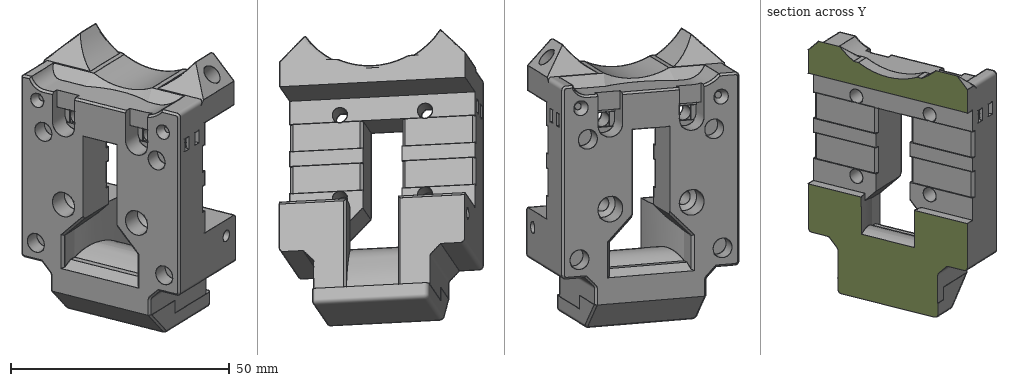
import cadquery as cq
import math

HALF_WIDTH = 21.6
TOTAL_HEIGHT = 64.81
FOOT_REAR = 26.0
BLOCK_REAR = 23.9
WEB_REAR = 10.8
SADDLE_REAR = 23.2

BODY_TOP = 58.9
BODY_BOTTOM = 13.5
NECK_TOP = 11.0
NECK_HALF = 13.55
FOOT_HALF = 13.6
CORNER_RADIUS = 1.0
NECK_RADIUS = 1.2
FRONT_CHAMFER = 0.5

BLOCK_TOP = 25.5
BLOCK_CHAMFER = 0.65
FOOT_HEIGHT = 3.75
FOOT_BEVEL = 6.9
FOOT_STEP_DEPTH = 10.6
FOOT_RADIUS = 1.0
SIDE_HOLE_DIAMETER = 2.7
SIDE_HOLE_DEPTH = 10.0
SIDE_HOLE_Y = 19.9
SIDE_HOLE_Z = 21.5

SADDLE_BOTTOM = 53.0
EAR_RISE = TOTAL_HEIGHT - BODY_TOP
EAR_SLOPE_START = 10.2
BORE_Z = 75.5
BORE_RADIUS = 18.4
EAR_BORE_RADIUS = 18.98
BORE_ROUNDING = 0.75
INSERT_DIAMETER = 4.6
INSERT_DEPTH = 5.5
INSERT_Y = 18.2
INSERT_RISE = 2.8

RELIEF_FLOOR = 56.4
RELIEF_REAR = 9.75
RELIEF_LEFT_END = -15.4
RELIEF_LEFT_RADIUS = 3.7
RELIEF_RIGHT_END = 10.9
RELIEF_RIGHT_RADIUS = 7.9

SCREW_X = 9.93
UPPER_SCREW_Z = 49.15
LOWER_SCREW_Z = 29.2
SCREW_DIAMETER = 3.5
HEAD_DIAMETER = 6.0
HEAD_DEPTH = 5.0
HEAD_CONE_DEPTH = 0.8
CHANNEL_DEPTH = 1.9
BRIDGE_LAYER = 0.3

PILOT_X = 17.1
PILOT_Z = 53.5
PILOT_DIAMETER = 3.5
PILOT_END_DIAMETER = 1.6
PILOT_DEPTH = 2.0
MAGNET_DIAMETER = 4.6
MAGNET_DEPTH = 4.0
MAGNET_POSITIONS = [(15.4, 46.05), (17.45, 17.9)]

SLOT_HALF = 4.57
SLOT_TOP = 47.5
WINDOW_HALF = 10.0
WINDOW_REAR_HALF = 6.05
WINDOW_SHOULDER = 21.3
WINDOW_CHAMFER = 0.57
WINDOW_SILL = 13.1
SILL_RAMP = 2.85
FLOOR_LOW = 14.55
FLOOR_HIGH = 16.55
FLOOR_CREST = 10.3
CURVE_START = 4.4
CURVE_START_HALF = 9.7
WINDOW_REAR_CHAMFER = 0.55

TIE_Y = 5.33
TIE_INNER_RADIUS = 1.37
TIE_OUTER_RADIUS = 3.07
TIE_BOTTOM = 48.9
TIE_HEIGHT = 3.1
GROOVE_DEPTH = 0.3
GROOVE_END_DEPTH = 1.0
GROOVE_HEIGHT = 6.5
GROOVE_BOTTOMS = [31.0, 41.0]

SIDES = (-1, 1)
MARGIN = 1.0


def box(x0, x1, y0, y1, z0, z1):
    """Block between two corners."""
    return cq.Workplane("XY").box(x1 - x0, y1 - y0, z1 - z0, centered=False).translate((x0, y0, z0))


def along_y(sketch_points, y0, y1):
    """Extrude a closed X-Z outline from y0 to y1."""
    return cq.Workplane("XZ", origin=(0, y0, 0)).polyline(sketch_points).close().extrude(y0 - y1)


def along_x(sketch_points, half_length):
    """Extrude a closed Y-Z outline symmetrically about X = 0."""
    return cq.Workplane("YZ").polyline(sketch_points).close().extrude(half_length, both=True)


def cylinder_y(x, z, diameter, y0, y1):
    """Cylinder along Y from y0 to y1."""
    return cq.Workplane("XZ", origin=(x, y0, z)).circle(diameter / 2).extrude(y0 - y1)


def cone_y(x, z, front_diameter, rear_diameter, depth, front_y=0):
    """Cone along Y, measured from its front end."""
    base = cq.Vector(x, front_y, z)
    cone = cq.Solid.makeCone(front_diameter / 2, rear_diameter / 2, depth, base, cq.Vector(0, 1, 0))
    return cq.Workplane("XY").add(cone)


def cylinder_into(mouth, direction, diameter, depth):
    """Cylinder from a mouth point along a direction."""
    return cq.Workplane("XY").add(cq.Solid.makeCylinder(diameter / 2, depth, mouth, direction))


def make_body():
    """Front plate and lower block, extruded from one outline and stepped at the rear."""
    neck_start = NECK_HALF + BODY_BOTTOM - NECK_TOP
    right = [(NECK_HALF, 0), (NECK_HALF, NECK_TOP), (neck_start, BODY_BOTTOM), (HALF_WIDTH, BODY_BOTTOM),
             (HALF_WIDTH, BODY_TOP)]
    left = [(-x, z) for x, z in reversed(right)]
    body = along_y(right + left, 0, BLOCK_REAR)
    for side in SIDES:
        for x, z, radius in ((HALF_WIDTH, BODY_TOP, CORNER_RADIUS), (HALF_WIDTH, BODY_BOTTOM, CORNER_RADIUS),
                             (NECK_HALF, NECK_TOP, NECK_RADIUS)):
            corner = cq.selectors.NearestToPointSelector((side * x, BLOCK_REAR / 2, z))
            body = body.edges("|Y").edges(corner).fillet(radius)
    body = body.cut(top_relief()).faces("<Y").chamfer(FRONT_CHAMFER)
    width = HALF_WIDTH + MARGIN
    body = body.cut(box(-width, width, WEB_REAR, BLOCK_REAR + MARGIN, BLOCK_TOP, TOTAL_HEIGHT))
    rear_edge = cq.selectors.NearestToPointSelector((0, BLOCK_REAR, BLOCK_TOP))
    body = body.edges("|X").edges(rear_edge).chamfer(BLOCK_CHAMFER)
    below_foot_top = box(-width, width, -MARGIN, BLOCK_REAR + MARGIN, -MARGIN, FOOT_HEIGHT)
    foot_step = box(-width, width, -MARGIN, FOOT_STEP_DEPTH, 0, FOOT_BEVEL)
    return body.cut(below_foot_top).cut(foot_step)


def make_foot():
    """Bottom plate reaching past the block, raised and bevelled at the front."""
    side = [(FOOT_BEVEL, 0), (FOOT_REAR, 0), (FOOT_REAR, FOOT_HEIGHT), (FOOT_STEP_DEPTH, FOOT_HEIGHT),
            (FOOT_STEP_DEPTH, FOOT_BEVEL), (0, FOOT_BEVEL)]
    foot = along_x(side, FOOT_HALF)
    foot = foot.edges("|Z and >Y").fillet(FOOT_RADIUS)
    foot = foot.edges("|Y and <Z").fillet(FOOT_RADIUS)
    bevel_middle = cq.selectors.NearestToPointSelector((0, FOOT_BEVEL / 2, FOOT_BEVEL / 2))
    return foot.faces(bevel_middle).edges("not |X").chamfer(FRONT_CHAMFER)


def make_saddle():
    """Block behind the body top whose ears rise at 45 degrees from the sides and from the front."""
    outline = [(-HALF_WIDTH, SADDLE_BOTTOM), (HALF_WIDTH, SADDLE_BOTTOM), (HALF_WIDTH, BODY_TOP),
               (HALF_WIDTH - EAR_RISE, TOTAL_HEIGHT), (EAR_RISE - HALF_WIDTH, TOTAL_HEIGHT),
               (-HALF_WIDTH, BODY_TOP)]
    slope_drop = BODY_TOP - SADDLE_BOTTOM
    side = [(EAR_SLOPE_START - slope_drop, SADDLE_BOTTOM), (SADDLE_REAR, SADDLE_BOTTOM),
            (SADDLE_REAR, TOTAL_HEIGHT), (EAR_SLOPE_START + EAR_RISE, TOTAL_HEIGHT)]
    return along_y(outline, 0, SADDLE_REAR).intersect(along_x(side, HALF_WIDTH))


def bore_cutter(radius, front_flare):
    """Cylinder along Y whose rear rim is rounded and whose front flares at 45 degrees, if at all."""
    round_start = SADDLE_REAR - BORE_ROUNDING
    round_middle = BORE_ROUNDING * math.sin(math.pi / 4)
    outline = cq.Workplane("XY").moveTo(0, RELIEF_REAR - front_flare)
    if front_flare:
        outline = outline.lineTo(radius + front_flare, RELIEF_REAR - front_flare)
    return (
        outline.lineTo(radius, RELIEF_REAR).lineTo(radius, round_start)
        .threePointArc((radius + BORE_ROUNDING - round_middle, round_start + round_middle),
                       (radius + BORE_ROUNDING, SADDLE_REAR))
        .lineTo(0, SADDLE_REAR).close()
        .revolve(360, (0, 0), (0, 1)).translate((0, 0, BORE_Z))
    )


def saddle_bore():
    """Main bore with its flare, and the slightly wider bore between the ears."""
    top = TOTAL_HEIGHT + MARGIN
    above_relief = box(-HALF_WIDTH, HALF_WIDTH, 0, SADDLE_REAR, RELIEF_FLOOR, top)
    above_body = box(-HALF_WIDTH, HALF_WIDTH, 0, SADDLE_REAR, BODY_TOP, top)
    main_bore = bore_cutter(BORE_RADIUS, BODY_TOP - RELIEF_FLOOR).intersect(above_relief)
    return main_bore.union(bore_cutter(EAR_BORE_RADIUS, 0).intersect(above_body))


def insert_hole(side):
    """Blind hole square to the sloping flank of one ear."""
    mouth = cq.Vector(side * (HALF_WIDTH - INSERT_RISE), INSERT_Y, BODY_TOP + INSERT_RISE)
    return cylinder_into(mouth, cq.Vector(-side, 0, -1), INSERT_DIAMETER, INSERT_DEPTH)


def top_relief():
    """Trough across the top front edge with unequal rounded ends and a 45 degree rear slope."""
    rise = BODY_TOP - RELIEF_FLOOR
    trough = box(RELIEF_LEFT_END, RELIEF_RIGHT_END, 0, RELIEF_REAR, RELIEF_FLOOR, BODY_TOP)
    ceiling = box(-HALF_WIDTH, HALF_WIDTH, 0, RELIEF_REAR, RELIEF_FLOOR, BODY_TOP)
    for x, radius in ((RELIEF_LEFT_END, RELIEF_LEFT_RADIUS), (RELIEF_RIGHT_END, RELIEF_RIGHT_RADIUS)):
        end = cylinder_y(x, RELIEF_FLOOR + radius, 2 * radius, 0, RELIEF_REAR)
        trough = trough.union(end.intersect(ceiling))
    slope = along_x([(0, RELIEF_FLOOR), (RELIEF_REAR - rise, RELIEF_FLOOR), (RELIEF_REAR, BODY_TOP),
                     (0, BODY_TOP)], HALF_WIDTH)
    return trough.intersect(slope)


def upper_screw(x):
    """Through hole with a square-topped head pocket, bridging steps and an open channel to the top."""
    radius = HEAD_DIAMETER / 2
    half_hole = SCREW_DIAMETER / 2
    z = UPPER_SCREW_Z

    def head(depth):
        upper = box(x - radius, x + radius, 0, depth, z, z + radius)
        return cylinder_y(x, z, HEAD_DIAMETER, 0, depth).union(upper)

    strip_depth = HEAD_DEPTH + BRIDGE_LAYER
    square_depth = strip_depth + BRIDGE_LAYER
    strip = box(x - radius, x + radius, 0, strip_depth, z - half_hole, z + half_hole)
    square = box(x - half_hole, x + half_hole, 0, square_depth, z - half_hole, z + half_hole)
    channel = box(x - radius, x + radius, 0, CHANNEL_DEPTH, z, BODY_TOP)
    hole = cylinder_y(x, z, SCREW_DIAMETER, 0, WEB_REAR)
    return head(HEAD_DEPTH).union(strip.intersect(head(strip_depth))).union(square).union(channel).union(hole)


def lower_screw(x):
    """Through hole with a deep head pocket that narrows to the hole in a cone."""
    hole = cylinder_y(x, LOWER_SCREW_Z, SCREW_DIAMETER, 0, WEB_REAR)
    head = cylinder_y(x, LOWER_SCREW_Z, HEAD_DIAMETER, 0, HEAD_DEPTH)
    seat = cone_y(x, LOWER_SCREW_Z, HEAD_DIAMETER, SCREW_DIAMETER, HEAD_CONE_DEPTH, HEAD_DEPTH)
    return hole.union(head).union(seat)


def window_outline(offset):
    """Slot widening at 45 degrees into the lower window."""
    wide = WINDOW_HALF + offset
    shoulder = WINDOW_SHOULDER + offset * math.tan(math.pi / 8)
    throat = shoulder + wide - SLOT_HALF
    right = [(wide, WINDOW_SILL), (wide, shoulder), (SLOT_HALF, throat), (SLOT_HALF, SLOT_TOP)]
    return right + [(-px, pz) for px, pz in reversed(right)]


def fairing_middle(length, drop):
    """Middle of an arc that drops over a length and ends parallel to it.

    Returns the distances from the end of the arc, along and across the length.
    """
    radius = (length ** 2 + drop ** 2) / (2 * drop)
    half_angle = math.asin(length / radius) / 2
    return radius * math.sin(half_angle), radius * (1 - math.cos(half_angle))


def window_plan():
    """X-Y outline whose side walls curve inward toward the rear."""
    wall_end = BLOCK_REAR - WINDOW_REAR_CHAMFER
    along, across = fairing_middle(wall_end - CURVE_START, CURVE_START_HALF - WINDOW_REAR_HALF)
    half = (
        cq.Workplane("XY").moveTo(0, 0).lineTo(WINDOW_HALF, 0).lineTo(CURVE_START_HALF, CURVE_START)
        .threePointArc((WINDOW_REAR_HALF + across, wall_end - along), (WINDOW_REAR_HALF, wall_end))
        .lineTo(WINDOW_REAR_HALF + WINDOW_REAR_CHAMFER, BLOCK_REAR).lineTo(0, BLOCK_REAR).close()
        .extrude(TOTAL_HEIGHT)
    )
    return half.union(half.mirror("YZ"))


def window_side():
    """Y-Z outline whose floor ramps up, runs level, rises to a crest and falls round to the foot."""
    along, across = fairing_middle(FLOOR_CREST - CURVE_START, FLOOR_HIGH - FLOOR_LOW)
    fall = FLOOR_HIGH - FOOT_HEIGHT
    fall_middle = fall * math.sin(math.pi / 4)
    return (
        cq.Workplane("YZ").moveTo(0, WINDOW_SILL).lineTo(SILL_RAMP, FLOOR_LOW).lineTo(CURVE_START, FLOOR_LOW)
        .threePointArc((FLOOR_CREST - along, FLOOR_HIGH - across), (FLOOR_CREST, FLOOR_HIGH))
        .threePointArc((FLOOR_CREST + fall_middle, FOOT_HEIGHT + fall_middle),
                       (FLOOR_CREST + fall, FOOT_HEIGHT))
        .lineTo(BLOCK_REAR, FOOT_HEIGHT).lineTo(BLOCK_REAR, BLOCK_TOP).lineTo(WEB_REAR, BLOCK_TOP)
        .lineTo(WEB_REAR, SLOT_TOP).lineTo(0, SLOT_TOP).close()
        .extrude(HALF_WIDTH, both=True)
    )


def window():
    """Opening through plate and block, chamfered at the front."""
    through = along_y(window_outline(0), 0, WEB_REAR)
    rear = box(-HALF_WIDTH, HALF_WIDTH, WEB_REAR, BLOCK_REAR, FOOT_HEIGHT, BLOCK_TOP)
    mouth = (
        cq.Workplane("XZ").polyline(window_outline(WINDOW_CHAMFER)).close()
        .workplane(offset=-WINDOW_CHAMFER).polyline(window_outline(0)).close().loft(ruled=True)
    )
    inner = through.union(rear).intersect(window_plan())
    return inner.union(mouth).intersect(window_side())


def tie_loop(side):
    """Half-ring channel for a cable tie, entering and leaving through one side face."""
    ring = cq.Workplane("XY").circle(TIE_OUTER_RADIUS).circle(TIE_INNER_RADIUS).extrude(TIE_HEIGHT)
    return ring.translate((side * HALF_WIDTH, TIE_Y, TIE_BOTTOM))


def rear_groove(bottom, side):
    """Shallow groove across one leg of the plate, deepening at 45 degrees toward both ends."""
    floor = WEB_REAR - GROOVE_DEPTH
    end_floor = WEB_REAR - GROOVE_END_DEPTH
    slope = GROOVE_END_DEPTH - GROOVE_DEPTH
    rear = WEB_REAR + MARGIN
    outline = [(SLOT_HALF, rear), (SLOT_HALF, end_floor), (SLOT_HALF + slope, floor),
               (HALF_WIDTH - slope, floor), (HALF_WIDTH, end_floor), (HALF_WIDTH, rear)]
    outline = [(side * x, y) for x, y in outline]
    return cq.Workplane("XY", origin=(0, 0, bottom)).polyline(outline).close().extrude(GROOVE_HEIGHT)


def side_hole(side):
    """Blind hole into one side face of the lower block."""
    mouth = cq.Vector(side * HALF_WIDTH, SIDE_HOLE_Y, SIDE_HOLE_Z)
    return cylinder_into(mouth, cq.Vector(-side, 0, 0), SIDE_HOLE_DIAMETER, SIDE_HOLE_DEPTH)


part = make_body().union(make_saddle()).union(make_foot())
part = part.cut(saddle_bore()).cut(window())
for side in SIDES:
    for groove_bottom in GROOVE_BOTTOMS:
        part = part.cut(rear_groove(groove_bottom, side))
    part = part.cut(insert_hole(side)).cut(tie_loop(side)).cut(side_hole(side))
    part = part.cut(upper_screw(side * SCREW_X)).cut(lower_screw(side * SCREW_X))
    part = part.cut(cone_y(side * PILOT_X, PILOT_Z, PILOT_DIAMETER, PILOT_END_DIAMETER, PILOT_DEPTH))
    for magnet_x, magnet_z in MAGNET_POSITIONS:
        part = part.cut(cylinder_y(side * magnet_x, magnet_z, MAGNET_DIAMETER, 0, MAGNET_DEPTH))

result = part